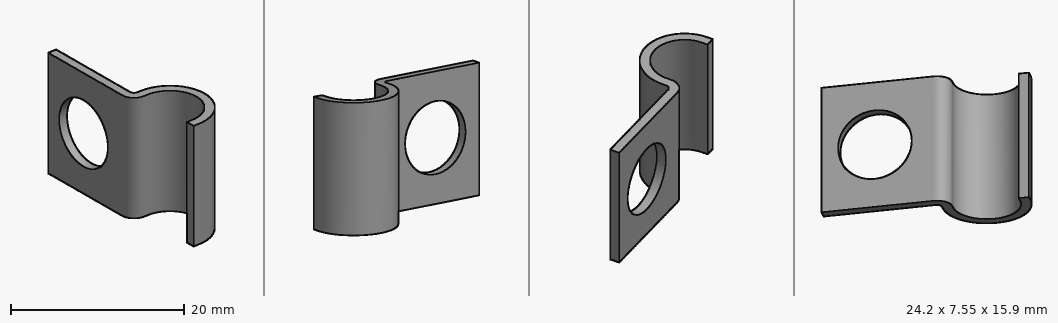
import cadquery as cq

length = 24.23
depth = 7.55
height = 15.87

thickness = 1.2
arch_outer_radius = 5.19
bend_inner_radius = 0.58
free_end_y = 1.6

hole_diameter = 8.72
hole_x = 6.35

arch_inner_radius = arch_outer_radius - thickness
arch_x = length - arch_outer_radius
arch_y = depth - arch_outer_radius
bend_outer_radius = bend_inner_radius + thickness
arch_left = arch_x - arch_outer_radius
bend_x = arch_left - bend_inner_radius
bend_y = bend_outer_radius


def clip_strip():
    """Flat tab, bend and half-round arch, extruded along Z."""
    return (
        cq.Workplane("XY")
        .moveTo(0, 0)
        .lineTo(bend_x, 0)
        .radiusArc((bend_x + bend_outer_radius, bend_y), -bend_outer_radius)
        .lineTo(arch_x - arch_inner_radius, arch_y)
        .threePointArc((arch_x, arch_y + arch_inner_radius), (arch_x + arch_inner_radius, arch_y))
        .lineTo(arch_x + arch_inner_radius, free_end_y)
        .lineTo(length, free_end_y)
        .lineTo(length, arch_y)
        .threePointArc((arch_x, depth), (arch_left, arch_y))
        .lineTo(arch_left, bend_y)
        .radiusArc((bend_x, thickness), bend_inner_radius)
        .lineTo(0, thickness)
        .close()
        .extrude(height)
    )


def mounting_hole():
    """Round cutter through the thickness of the tab, centred in its height."""
    return (
        cq.Workplane("XZ", origin=(hole_x, thickness, height / 2))
        .circle(hole_diameter / 2)
        .extrude(thickness)
    )


result = clip_strip().cut(mounting_hole())